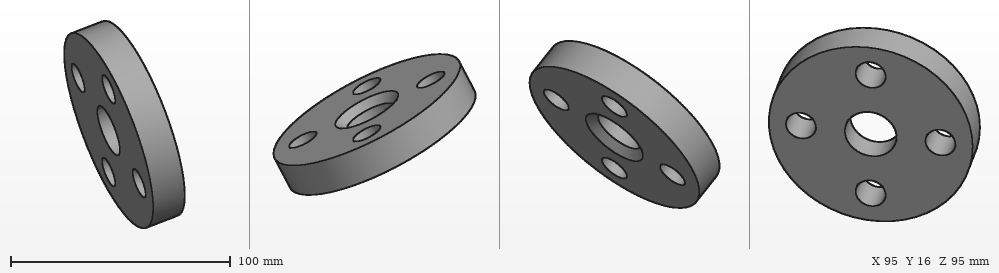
import cadquery as cq

outer_diameter = 95.0
thickness = 16.0
bore_diameter = 24.0
bore_chamfer = 4.0
bolt_hole_diameter = 14.0
bolt_circle_diameter = 65.0
bolt_hole_count = 4


def flange_disc():
    """Disc with a central through bore, chamfered at 45 degrees on the +Y face."""
    disc = cq.Workplane("XZ").circle(outer_diameter / 2).extrude(thickness)
    bore = cq.Workplane("XZ").circle(bore_diameter / 2).extrude(thickness)
    countersink = (
        cq.Workplane("XZ")
        .circle(bore_diameter / 2 + bore_chamfer)
        .extrude(bore_chamfer, taper=45)
    )
    return disc.cut(bore).cut(countersink)


def bolt_holes():
    """Cylinders for the through holes, evenly spaced on the bolt circle."""
    return (
        cq.Workplane("XZ")
        .polarArray(bolt_circle_diameter / 2, 0, 360, bolt_hole_count)
        .circle(bolt_hole_diameter / 2)
        .extrude(thickness)
    )


result = flange_disc().cut(bolt_holes())